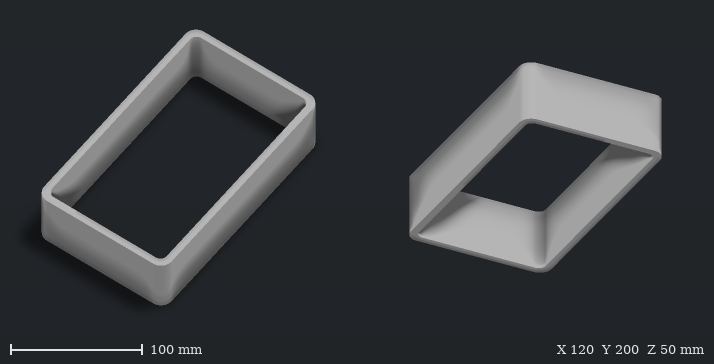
import cadquery as cq

width = 120.0
length = 200.0
height = 50.0
wall = 6.0
outer_radius = 10.0
inner_radius = 6.0


def rounded_block(size_x, size_y, corner_radius):
    """Upright block centred on the origin in X and Y, with rounded vertical edges."""
    block = cq.Workplane("XY").box(size_x, size_y, height, centered=(True, True, False))
    return block.edges("|Z").fillet(corner_radius)


outer_body = rounded_block(width, length, outer_radius)
opening = rounded_block(width - 2 * wall, length - 2 * wall, inner_radius)

result = outer_body.cut(opening)